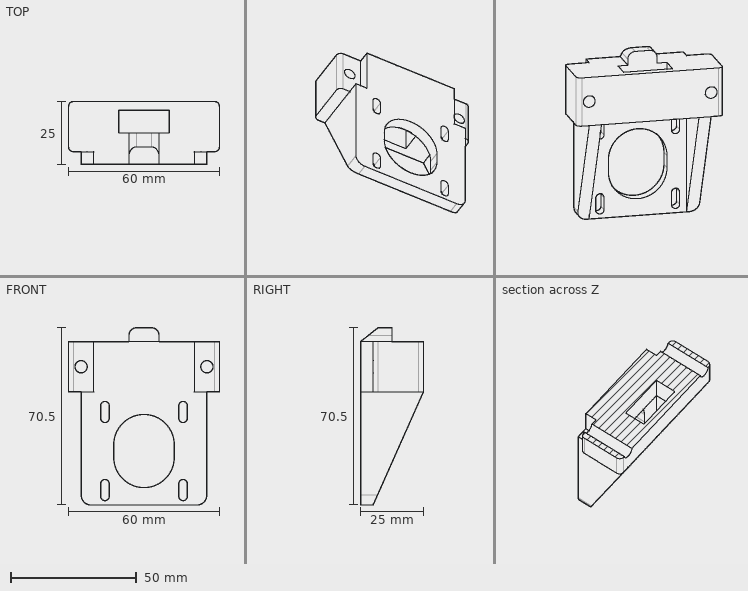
import cadquery as cq


depth = 25.0
total_height = 70.5

block_width = 60.0
block_height = 20.0
block_corner_radius = 2.0
step_depth = 5.0
center_width = 40.0
screw_hole_diameter = 4.8
screw_hole_spacing = 50.0

tongue_width = 12.0
tongue_height = 5.5
tongue_depth = 12.55
tongue_slope_depth = 7.0
tongue_corner_radius = 3.0

window_width = 20.0
window_depth = 8.95

plate_width = 50.0
plate_thickness = 5.0
plate_corner_radius = 4.0
motor_center_z = 21.5
motor_hole_width = 24.0
slot_width = 3.3
slot_spacing = 31.0
adjustment_travel = 5.0

plate_height = total_height - block_height - tongue_height
block_top = plate_height + block_height


def box(width, y_start, y_end, z_start, z_end):
    """Box centered on X, spanning the given Y and Z ranges."""
    return cq.Workplane("XY").box(
        width, y_end - y_start, z_end - z_start, centered=(True, False, False)
    ).translate((0, y_start, z_start))


def make_block():
    body = box(block_width, step_depth, depth, plate_height, block_top)
    body = body.edges("|Z").fillet(block_corner_radius)
    center = box(center_width, 0, depth / 2, plate_height, block_top)
    return body.union(center)


def make_tongue():
    tongue = box(tongue_width, 0, tongue_depth, block_top, total_height)
    tongue = tongue.edges("|Y and >Z").fillet(tongue_corner_radius)
    slope = (
        cq.Workplane("YZ")
        .moveTo(0, block_top)
        .lineTo(tongue_slope_depth, total_height)
        .lineTo(0, total_height)
        .close()
        .extrude(tongue_width, both=True)
    )
    return tongue.cut(slope)


def make_bracket():
    """Plate with a tapering rib along each side and an open space between them."""
    bracket = (
        cq.Workplane("YZ")
        .moveTo(0, 0)
        .lineTo(plate_thickness, 0)
        .lineTo(depth, plate_height)
        .lineTo(0, plate_height)
        .close()
        .extrude(plate_width / 2, both=True)
    )
    rounded = box(plate_width, 0, depth, 0, plate_height)
    rounded = rounded.edges("|Y and <Z").fillet(plate_corner_radius)
    open_space = box(center_width, plate_thickness, depth, 0, plate_height)
    return bracket.intersect(rounded).cut(open_space)


def vertical_slots(width, points):
    """Slots through the full depth, lengthened along Z by the adjustment travel."""
    return (
        cq.Workplane("XZ")
        .pushPoints(points)
        .slot2D(width + adjustment_travel, width, 90)
        .extrude(-depth)
    )


def make_screw_holes():
    hole_z = plate_height + block_height / 2
    return (
        cq.Workplane("XZ")
        .pushPoints([(side * screw_hole_spacing / 2, hole_z) for side in (-1, 1)])
        .circle(screw_hole_diameter / 2)
        .extrude(-depth)
    )


slot_centers = [
    (x_side * slot_spacing / 2, motor_center_z + z_side * slot_spacing / 2)
    for x_side in (-1, 1)
    for z_side in (-1, 1)
]
window = box(window_width, tongue_depth, tongue_depth + window_depth, plate_height, block_top)

result = (
    make_block()
    .union(make_tongue())
    .union(make_bracket())
    .cut(window)
    .cut(make_screw_holes())
    .cut(vertical_slots(motor_hole_width, [(0, motor_center_z)]))
    .cut(vertical_slots(slot_width, slot_centers))
)